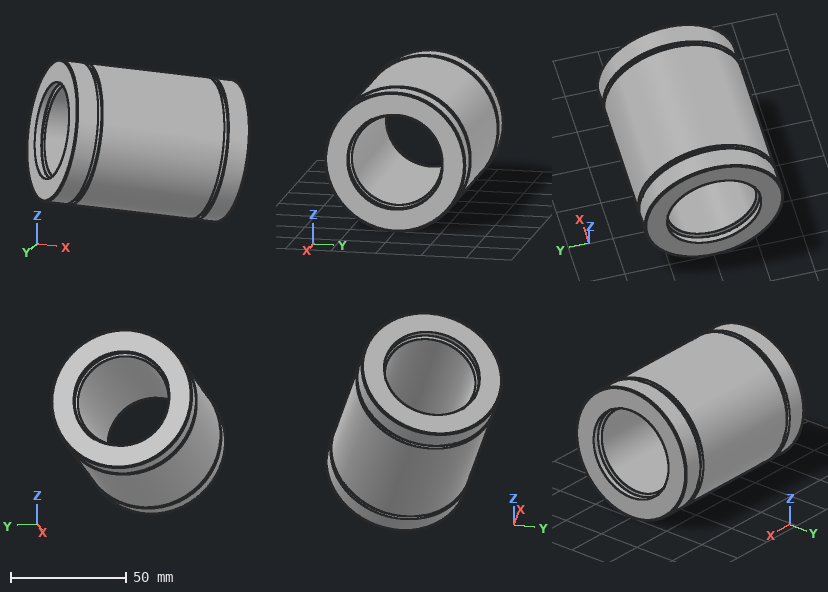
import cadquery as cq

length = 80.0
outer_diameter = 62.0
edge_chamfer = 0.5

ring_groove_diameter = 59.0
ring_groove_width = 2.1
ring_groove_span = 60.5

bore_diameter = 40.0
mouth_diameter = 42.2
mouth_depth = 3.0

inner_groove_diameter = 46.2
inner_groove_width = 1.1


def cylinder(diameter, start_x, width):
    """Solid cylinder on the X axis, starting at start_x."""
    return cq.Workplane("YZ", origin=(start_x, 0, 0)).circle(diameter / 2).extrude(width)


def ring_groove(start_x):
    """Ring of material removed from the outer surface."""
    blank = cylinder(outer_diameter, start_x, ring_groove_width)
    return blank.cut(cylinder(ring_groove_diameter, start_x, ring_groove_width))


sleeve = cylinder(outer_diameter, -length / 2, length)
sleeve = sleeve.edges("%CIRCLE").chamfer(edge_chamfer)
sleeve = sleeve.cut(cylinder(bore_diameter, -length / 2, length))

for groove_start in (-ring_groove_span / 2, ring_groove_span / 2 - ring_groove_width):
    sleeve = sleeve.cut(ring_groove(groove_start))

for mouth_start in (-length / 2, length / 2 - mouth_depth):
    sleeve = sleeve.cut(cylinder(mouth_diameter, mouth_start, mouth_depth))

inner_groove_end = length / 2 - mouth_depth
for groove_start in (-inner_groove_end, inner_groove_end - inner_groove_width):
    sleeve = sleeve.cut(cylinder(inner_groove_diameter, groove_start, inner_groove_width))

result = sleeve